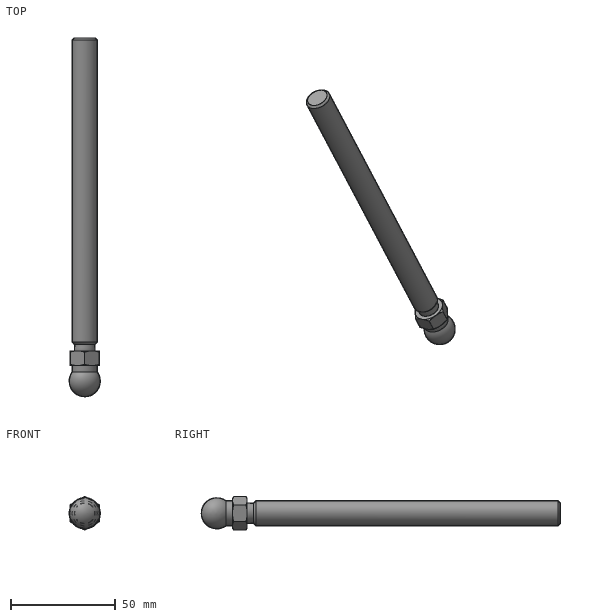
import cadquery as cq
import math

total_length = 172.0
ball_radius = 15.0 / 2
shank_radius = 6.0
shank_end_chamfer = 1.0
neck_radius = 5.0
neck_root_radius = 4.8
collar_radius = shank_radius

hex_sides = 6
hex_corner_radius = 16.2 / 2
hex_flat_radius = hex_corner_radius * math.cos(math.pi / hex_sides)
hex_chamfer_angle = math.radians(30)
hex_length = 7.0

tip_to_hex = 15.0
tip_to_neck_taper = 23.0
tip_to_shank = 26.1

ball_tip = -ball_radius
collar_start = math.sqrt(ball_radius**2 - collar_radius**2)
hex_start = ball_tip + tip_to_hex
hex_end = hex_start + hex_length
neck_taper_start = ball_tip + tip_to_neck_taper
shank_start = ball_tip + tip_to_shank
neck_end = shank_start - (shank_radius - neck_root_radius)
shank_end = ball_tip + total_length


def revolve_about_y(profile):
    """Close a half profile drawn in X and Y and turn it about the Y axis."""
    return profile.close().revolve(360, (0, 0), (0, 1))


def make_turned_body():
    """Ball, collar, neck tapering to its root, and shank in one turned piece."""
    profile = (
        cq.Workplane("XY")
        .moveTo(0, ball_tip)
        .threePointArc((ball_radius, 0), (collar_radius, collar_start))
        .lineTo(collar_radius, hex_start)
        .lineTo(neck_radius, hex_end)
        .lineTo(neck_radius, neck_taper_start)
        .lineTo(neck_root_radius, neck_end)
        .lineTo(shank_radius, shank_start)
        .lineTo(shank_radius, shank_end - shank_end_chamfer)
        .lineTo(shank_radius - shank_end_chamfer, shank_end)
        .lineTo(0, shank_end)
    )
    return revolve_about_y(profile)


def make_hexagon():
    """Hexagon with corners on +Z and -Z, its corners turned down at both faces."""
    corners = []
    for i in range(hex_sides):
        angle = 2 * math.pi * i / hex_sides
        corners.append((hex_corner_radius * math.sin(angle), hex_corner_radius * math.cos(angle)))
    prism = (
        cq.Workplane("XZ", origin=(0, hex_end, 0))
        .polyline(corners)
        .close()
        .extrude(hex_length)
    )
    chamfer_depth = (hex_corner_radius - hex_flat_radius) * math.tan(hex_chamfer_angle)
    turned_envelope = (
        cq.Workplane("XY")
        .moveTo(0, hex_start)
        .lineTo(hex_flat_radius, hex_start)
        .lineTo(hex_corner_radius, hex_start + chamfer_depth)
        .lineTo(hex_corner_radius, hex_end - chamfer_depth)
        .lineTo(hex_flat_radius, hex_end)
        .lineTo(0, hex_end)
    )
    return prism.intersect(revolve_about_y(turned_envelope))


result = make_turned_body().union(make_hexagon())